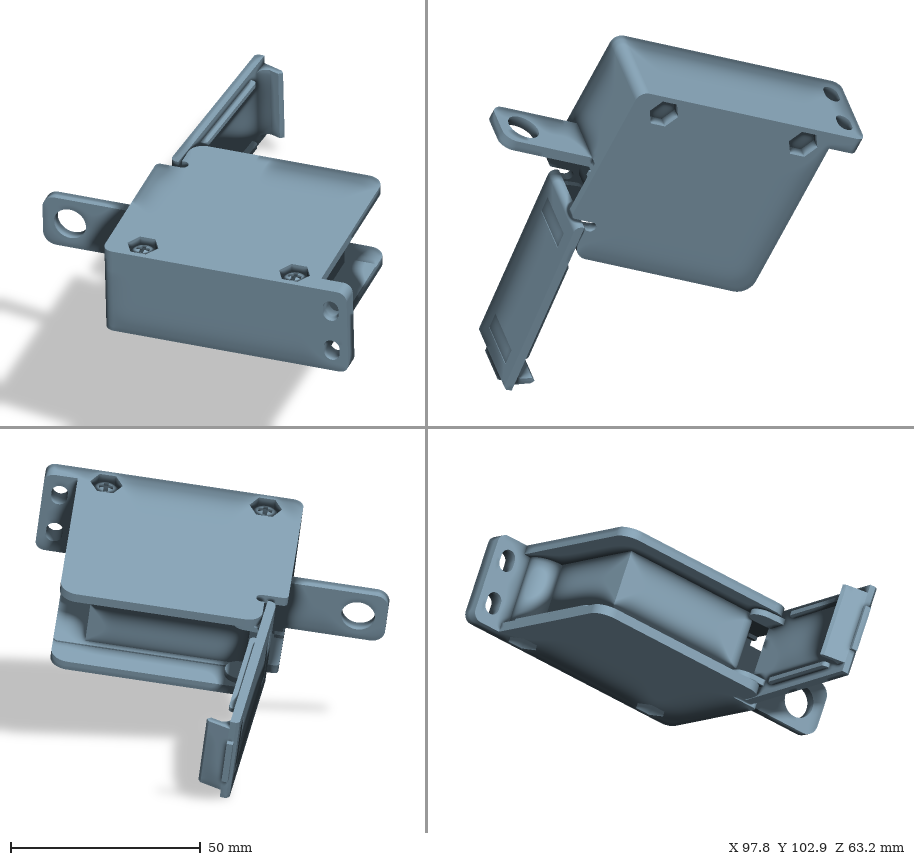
import cadquery as cq
import math

YAW, PITCH, ROLL = 6.9, 7.8, -18.7

WIDTH = 25.1
HALF_WIDTH = WIDTH / 2
PLATE = 2.6
INNER_HALF = HALF_WIDTH - PLATE
LENGTH = 59.9
HEIGHT = 54.9
BASE_THICKNESS = 4.8
BEND_RADIUS = 2.9
END_CORNER_RADIUS = 4.6

FLANGE_END = 68.7
FLANGE_CORNER_RADIUS = 2.6
FLANGE_SLOT_WIDTH = 4.3
FLANGE_SLOT_LENGTH = 6.1
FLANGE_SLOT_X = 64.1
FLANGE_SLOT_SPACING = 12.4

TONGUE_BOTTOM = 26.7
TONGUE_THICKNESS = 3.0
TONGUE_TOP = TONGUE_BOTTOM + TONGUE_THICKNESS
TONGUE_WIDTH = 14.9
TONGUE_TIP_X = -26.2
TONGUE_ROOT_X = 0.5
TONGUE_CORNER_RADIUS = 3.6
TONGUE_HOLE_DIAMETER = 9.0
TONGUE_HOLE_X = -18.6
FRONT_WALL_TOP = 43.2
FRONT_WALL_ROUNDING = 1.2
STUB_WIDTH = 1.0
STUB_HEIGHT = 1.5

PIN_X, PIN_Y = 10.2, 49.9
PIN_DIAMETER = 2.5
EAR_X = 6.1
EAR_RADIUS = PIN_X - EAR_X
NOTCH_RADIUS = 1.4
NOTCH_X = 6.9
NOTCH_TOP = FRONT_WALL_TOP + 2 * NOTCH_RADIUS

SCREW_X = (9.8, 52.24)
SCREW_Y = 5.2
HEX_CORNERS = 8.6
HEAD_POCKET_DEPTH = 4.0
NUT_POCKET_DEPTH = 3.3
BOSS_DIAMETER = 11.3
SHANK_DIAMETER = 3.2
HEAD_DIAMETER = 7.1
HEAD_RIM = 1.6
HEAD_HEIGHT = 3.3
CROSS_LENGTH = 3.7
CROSS_WIDTH = 1.2
CROSS_DEPTH = 1.3

BLOCK_FRONT = 9.1
BLOCK_TOP = 45.2
BLOCK_ROUNDING = 3.7
BLOCK_BOTTOM = 11.3
BLOCK_END = 51.5
FLOOR_TOP = 46.8
FLOOR_STEP = 0.4
FLOOR_CORNER_RADIUS = 1.3

LID_ANGLE = -4.8
LID_OUTER = -7.0
LID_INNER = -4.5
LID_TIP = 49.8
LID_TAIL = -4.9
LID_TAIL_ROUNDING = 1.9
LID_TIP_CHAMFER = 0.8
KNUCKLE_RADIUS = 3.7
KNUCKLE_OUTER = 9.7
KNUCKLE_THICKNESS = 1.6
KNUCKLE_INNER = KNUCKLE_OUTER - KNUCKLE_THICKNESS
RIB_OUTER = 10.3
RIB_THICKNESS = 1.2
RIB_HEIGHT = 1.9
RIB_START, RIB_END = 9.0, 41.0
RIB_ROUNDING = 1.2
HOOK_WIDTH = 20.4
HOOK_ROOT = 44.9
HOOK_SHOULDER = (1.2, 48.3)
HOOK_TIP = (2.0, 47.4)
HOOK_BARB = (0.9, 46.5)
HOOK_ARM_INNER = (-1.9, 47.2)
HOOK_CORNER_MIDDLE = (-3.6, 46.6)
TAB_TIP = 51.3
TAB_WIDTH = 12.6
TAB_OUTER = -6.2
LABEL_WIDTH = 16.1
LABEL_HEIGHT = 4.7
LABEL_DEPTH = 0.2
LABEL_Y = (0.9, 40.1)


def extrude_across(sketch, z_low, z_high):
    """Extrude an x-y outline between two heights across the housing."""
    return sketch.extrude(z_high - z_low).translate((0, 0, z_low))


def box(x, y, z):
    """Box from (low, high) pairs."""
    return cq.Workplane("XY").box(
        x[1] - x[0], y[1] - y[0], z[1] - z[0], centered=False
    ).translate((x[0], y[0], z[0]))


def cylinder(x, y, diameter, z_low, z_high):
    return extrude_across(cq.Workplane("XY").center(x, y).circle(diameter / 2), z_low, z_high)


def hexagon(x, z_low, z_high):
    outline = cq.Workplane("XY").center(x, SCREW_Y).polygon(6, HEX_CORNERS)
    return extrude_across(outline, z_low, z_high)


def side_outline():
    """Outline of a side plate, with the hinge ear and the notch below it."""
    bend = BEND_RADIUS * (1 - math.sqrt(0.5))
    wall_round = FRONT_WALL_ROUNDING * (1 - math.sqrt(0.5))
    ear = EAR_RADIUS * (1 - math.sqrt(0.5))
    end = END_CORNER_RADIUS * (1 - math.sqrt(0.5))
    return (
        cq.Workplane("XY")
        .moveTo(BEND_RADIUS, 0)
        .lineTo(LENGTH, 0)
        .lineTo(LENGTH, HEIGHT - END_CORNER_RADIUS)
        .threePointArc((LENGTH - end, HEIGHT - end), (LENGTH - END_CORNER_RADIUS, HEIGHT))
        .lineTo(EAR_X + EAR_RADIUS, HEIGHT)
        .threePointArc((EAR_X + ear, HEIGHT - ear), (EAR_X, HEIGHT - EAR_RADIUS))
        .lineTo(EAR_X, NOTCH_TOP)
        .lineTo(NOTCH_X, NOTCH_TOP)
        .threePointArc(
            (NOTCH_X + NOTCH_RADIUS, NOTCH_TOP - NOTCH_RADIUS), (NOTCH_X, FRONT_WALL_TOP)
        )
        .lineTo(FRONT_WALL_ROUNDING, FRONT_WALL_TOP)
        .threePointArc(
            (wall_round, FRONT_WALL_TOP - wall_round), (0, FRONT_WALL_TOP - FRONT_WALL_ROUNDING)
        )
        .lineTo(0, BEND_RADIUS)
        .threePointArc((bend, bend), (BEND_RADIUS, 0))
        .close()
    )


def make_shell():
    """Side plates, base plate and front wall, open at the top and at the far end."""
    inside = (-INNER_HALF, INNER_HALF)
    shell = extrude_across(side_outline(), -HALF_WIDTH, HALF_WIDTH)
    shell = shell.cut(box((PLATE, LENGTH), (BASE_THICKNESS, HEIGHT), inside))
    shell = shell.cut(box((0, PLATE), (TONGUE_BOTTOM, HEIGHT), inside))
    for side in (-1, 1):
        stub_z = sorted((side * INNER_HALF, side * (INNER_HALF - STUB_WIDTH)))
        shell = shell.union(box((0, PLATE), (TONGUE_TOP, TONGUE_TOP + STUB_HEIGHT), stub_z))
    return shell


def make_flange():
    """Base plate extension with two slotted mounting holes."""
    flange = (
        box((LENGTH - PLATE, FLANGE_END), (0, BASE_THICKNESS), (-HALF_WIDTH, HALF_WIDTH))
        .edges("|Y and >X")
        .fillet(FLANGE_CORNER_RADIUS)
    )
    for side in (-1, 1):
        slot = (
            cq.Workplane("XZ")
            .center(FLANGE_SLOT_X, side * FLANGE_SLOT_SPACING / 2)
            .slot2D(FLANGE_SLOT_LENGTH, FLANGE_SLOT_WIDTH, 90)
            .extrude(-BASE_THICKNESS)
        )
        flange = flange.cut(slot)
    return flange


def add_screw_seat(shell, x):
    """Boss between the side plates, with a head pocket, a nut pocket and a through hole."""
    boss = cylinder(x, SCREW_Y, BOSS_DIAMETER, -INNER_HALF, INNER_HALF)
    boss = boss.intersect(box((0, LENGTH), (0, HEIGHT), (-HALF_WIDTH, HALF_WIDTH)))
    shell = shell.union(boss)
    shell = shell.cut(hexagon(x, HALF_WIDTH - HEAD_POCKET_DEPTH, HALF_WIDTH))
    shell = shell.cut(hexagon(x, -HALF_WIDTH, NUT_POCKET_DEPTH - HALF_WIDTH))
    return shell.cut(cylinder(x, SCREW_Y, SHANK_DIAMETER, -HALF_WIDTH, HALF_WIDTH))


def make_housing():
    housing = make_shell().union(make_flange())
    for x in SCREW_X:
        housing = add_screw_seat(housing, x)
    return housing.cut(cylinder(PIN_X, PIN_Y, PIN_DIAMETER, -HALF_WIDTH, HALF_WIDTH))


def make_tongue():
    """Pull tongue with an eye; its wider root fills the slot in the front wall."""
    tongue = (
        box(
            (TONGUE_TIP_X, BLOCK_FRONT),
            (TONGUE_BOTTOM, TONGUE_TOP),
            (-TONGUE_WIDTH / 2, TONGUE_WIDTH / 2),
        )
        .edges("|Y and <X")
        .fillet(TONGUE_CORNER_RADIUS)
    )
    root = box((TONGUE_ROOT_X, BLOCK_FRONT), (TONGUE_BOTTOM, TONGUE_TOP), (-INNER_HALF, INNER_HALF))
    tongue = tongue.union(root)
    hole = (
        cq.Workplane("XZ", origin=(0, TONGUE_BOTTOM, 0))
        .center(TONGUE_HOLE_X, 0)
        .circle(TONGUE_HOLE_DIAMETER / 2)
        .extrude(-TONGUE_THICKNESS)
    )
    return tongue.cut(hole)


def make_inner_block():
    """Block with a rounded front edge, on a thin floor that reaches the open end of the housing."""
    block = box((BLOCK_FRONT, BLOCK_END), (BLOCK_BOTTOM, BLOCK_TOP), (-INNER_HALF, INNER_HALF))
    block = block.edges("|Z and <X and >Y").fillet(BLOCK_ROUNDING)
    floor = box(
        (BLOCK_FRONT + BLOCK_ROUNDING, LENGTH),
        (BLOCK_BOTTOM, FLOOR_TOP),
        (-INNER_HALF, FLOOR_STEP - INNER_HALF),
    )
    floor = floor.edges("|Z and >X and >Y").fillet(FLOOR_CORNER_RADIUS)
    return block.union(floor)


def make_screw(x):
    """Dome-headed screw with a cross recess."""
    seat = HALF_WIDTH - HEAD_POCKET_DEPTH
    top = seat + HEAD_HEIGHT
    radius = HEAD_DIAMETER / 2
    dome = HEAD_HEIGHT - HEAD_RIM
    dome_radius = (radius**2 + dome**2) / (2 * dome)
    ball = cq.Workplane("XY").sphere(dome_radius).translate((x, SCREW_Y, top - dome_radius))
    head = cylinder(x, SCREW_Y, HEAD_DIAMETER, seat, top).intersect(ball)
    screw = head.union(cylinder(x, SCREW_Y, SHANK_DIAMETER, NUT_POCKET_DEPTH - HALF_WIDTH, seat))
    for size in ((CROSS_LENGTH, CROSS_WIDTH), (CROSS_WIDTH, CROSS_LENGTH)):
        slot = cq.Workplane("XY").center(x, SCREW_Y).rect(*size)
        screw = screw.cut(extrude_across(slot, top - CROSS_DEPTH, top))
    return screw


def make_pin(side):
    """Short hinge pin through one ear and the lid knuckle beside it."""
    return cylinder(PIN_X, PIN_Y, PIN_DIAMETER, *sorted((side * KNUCKLE_INNER, side * HALF_WIDTH)))


def lid_plate():
    plate = box((LID_OUTER, LID_INNER), (LID_TAIL, LID_TIP), (-HALF_WIDTH, HALF_WIDTH))
    plate = plate.edges("|Z and <X and <Y").fillet(LID_TAIL_ROUNDING)
    return plate.edges("|Z and <X and >Y").chamfer(LID_TIP_CHAMFER)


def lid_knuckle(side):
    """Round hinge arm on one side of the lid."""
    z = sorted((side * KNUCKLE_INNER, side * KNUCKLE_OUTER))
    web = box((LID_INNER, 0), (-KNUCKLE_RADIUS, KNUCKLE_RADIUS), z)
    knuckle = web.union(cylinder(0, 0, 2 * KNUCKLE_RADIUS, *z))
    return knuckle.cut(cylinder(0, 0, PIN_DIAMETER, *z))


def lid_rib(side):
    z = sorted((side * RIB_OUTER, side * (RIB_OUTER - RIB_THICKNESS)))
    rib = box((LID_INNER, LID_INNER + RIB_HEIGHT), (RIB_START, RIB_END), z)
    return rib.edges("|Z and >X").fillet(RIB_ROUNDING)


def lid_hook():
    """Latch hook at the lid tip, with a hollow corner where its arm meets the lid."""
    hook = (
        cq.Workplane("XY")
        .moveTo(LID_INNER, HOOK_ROOT)
        .lineTo(LID_INNER, LID_TIP)
        .lineTo(*HOOK_SHOULDER)
        .lineTo(*HOOK_TIP)
        .lineTo(*HOOK_BARB)
        .lineTo(*HOOK_ARM_INNER)
        .threePointArc(HOOK_CORNER_MIDDLE, (LID_INNER, HOOK_ROOT))
        .close()
    )
    return extrude_across(hook, -HOOK_WIDTH / 2, HOOK_WIDTH / 2)


def lid_tab():
    """Thumb tab that sticks out past the lid tip."""
    return box((TAB_OUTER, LID_INNER), (HOOK_ROOT, TAB_TIP), (-TAB_WIDTH / 2, TAB_WIDTH / 2))


def lid_label(y):
    """Shallow label recess in the outer face."""
    return box(
        (LID_OUTER, LID_OUTER + LABEL_DEPTH),
        (y, y + LABEL_HEIGHT),
        (-LABEL_WIDTH / 2, LABEL_WIDTH / 2),
    )


def make_lid():
    lid = lid_plate().union(lid_hook()).union(lid_tab())
    for side in (-1, 1):
        lid = lid.union(lid_knuckle(side)).union(lid_rib(side))
    for y in LABEL_Y:
        lid = lid.cut(lid_label(y))
    return lid.rotate((0, 0, 0), (0, 0, 1), LID_ANGLE).translate((PIN_X, PIN_Y, 0))


def tilt(body):
    """Turn a body from the local axes into its final attitude."""
    body = body.rotate((0, 0, 0), (1, 0, 0), ROLL)
    body = body.rotate((0, 0, 0), (0, 1, 0), -PITCH)
    return body.rotate((0, 0, 0), (0, 0, 1), YAW)


housing = make_housing()
tongue = make_tongue()
inner_block = make_inner_block()
lid = make_lid()
pins = [make_pin(side) for side in (-1, 1)]
screws = [make_screw(x) for x in SCREW_X]
bodies = [housing, tongue, inner_block, lid, *pins, *screws]
result = cq.Compound.makeCompound([tilt(body).val() for body in bodies])